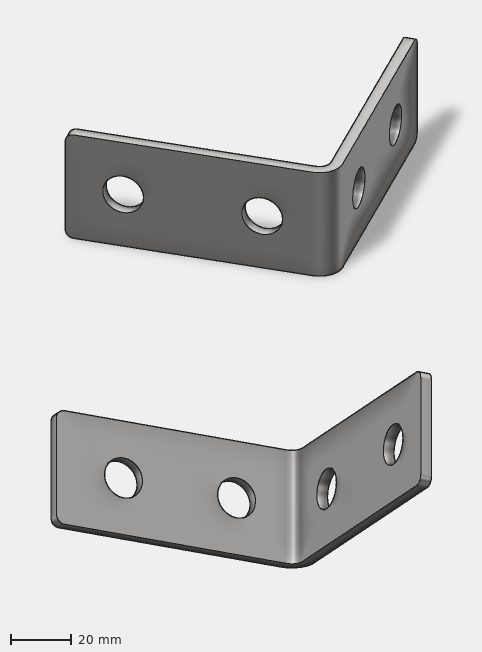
import cadquery as cq

leg_length = 93.5
width = 40.0
thickness = 4.0
inner_bend_radius = 4.0
corner_radius = 3.0
hole_diameter = 14.0

x_leg_hole_offsets = (20.0, 68.1)
y_leg_hole_offsets = (25.0, 67.0)

outer_bend_radius = inner_bend_radius + thickness
mid_height = width / 2


def bent_strip():
    """L-shaped strip with its outer bend corner at (leg_length, 0)."""
    inner_x = leg_length - thickness
    strip = (
        cq.Workplane("XY")
        .polyline([
            (0, 0),
            (leg_length, 0),
            (leg_length, leg_length),
            (inner_x, leg_length),
            (inner_x, thickness),
            (0, thickness),
        ])
        .close()
        .extrude(width)
    )
    outer_edge = cq.selectors.NearestToPointSelector((leg_length, 0, mid_height))
    strip = strip.edges(outer_edge).fillet(outer_bend_radius)
    inner_edge = cq.selectors.NearestToPointSelector((inner_x, thickness, mid_height))
    return strip.edges(inner_edge).fillet(inner_bend_radius)


def hole_cutter(start, direction):
    """Cylinder that passes through one leg, starting on its outer face."""
    return cq.Workplane(
        cq.Solid.makeCylinder(
            hole_diameter / 2, thickness, cq.Vector(*start), cq.Vector(*direction)
        )
    )


result = bent_strip()

result = result.faces("<X").edges("|Y").fillet(corner_radius)
result = result.faces(">Y").edges("|X").fillet(corner_radius)

for offset in x_leg_hole_offsets:
    result = result.cut(hole_cutter((offset, 0, mid_height), (0, 1, 0)))

for offset in y_leg_hole_offsets:
    hole_y = leg_length - offset
    result = result.cut(hole_cutter((leg_length, hole_y, mid_height), (-1, 0, 0)))